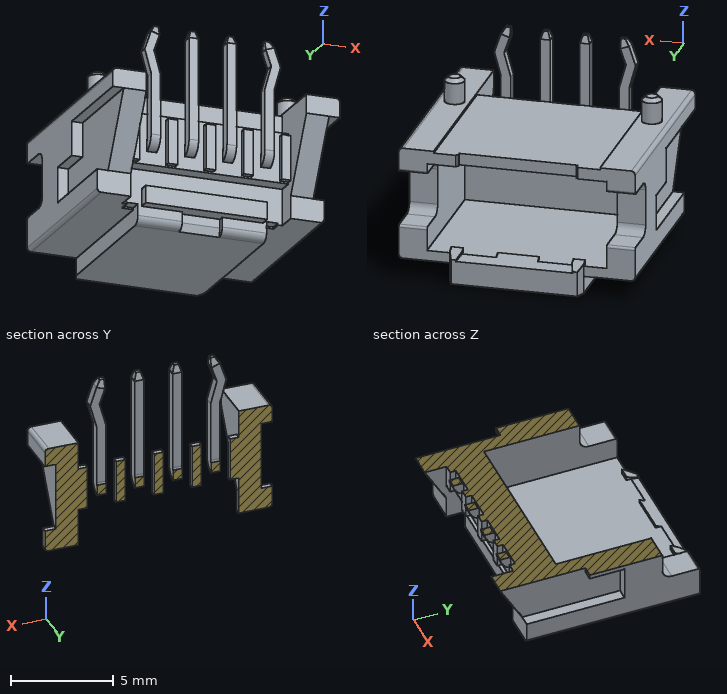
import cadquery as cq
import math


WIDTH = 12.0
LENGTH = 11.75
HEIGHT = 9.9

RAIL_BOTTOM = 0.9
RAIL_TOP = 6.7
RAIL_INNER_X = 4.22
LOWER_RAIL_FRONT = 2.05
BODY_BACK = 11.25
RAIL_EDGE_RADIUS = 0.2
POCKET_FLOOR_X = 5.42
POCKET_BOTTOM = 2.09
POCKET_STEP_Z = 3.92
POCKET_TOP = 5.7
POCKET_LOW_BACK = 7.25
POCKET_HIGH_BACK = 5.4
SIDE_NOTCH_FRONT = 9.26
SIDE_NOTCH_BOTTOM = 2.65
SIDE_NOTCH_TOP = 5.46
SIDE_NOTCH_INNER_RADIUS = 0.48
SIDE_NOTCH_LIP_RADIUS = 0.12

HOUSING_TOP = 6.6
HOUSING_FRONT = 3.17
PIN_WALL_FRONT = 2.35
PIN_WALL_BOTTOM = 2.8
PIN_WALL_TOP = 5.41

CAVITY_FRONT = 4.2
CAVITY_HALF_WIDTH = 4.56
CAVITY_FLOOR = 1.44
CAVITY_CEILING = 6.0
MOUTH_NOTCH_HALF_WIDTH = 3.0
MOUTH_NOTCH_DEPTH = 0.3
MOUTH_NOTCH_RADIUS = 0.1

BAR_HALF_WIDTH = 3.2
BAR_FRONT = 2.6
BAR_TOP = 1.8
RELIEF_OUTER_X = 4.0
RELIEF_HEIGHT = 0.1
RELIEF_DEPTH = 0.6

LATCH_HALF_WIDTH = 3.4
LATCH_EDGE_RADIUS = 0.41
LATCH_CENTRE_HALF_WIDTH = 1.05
LATCH_CENTRE_RECESS = 0.3
LATCH_CENTRE_CHAMFER_HEIGHT = 0.45
LATCH_CENTRE_CHAMFER_DEPTH = 0.12

HOOK_TIP_HALF_WIDTH = 3.2
HOOK_TIP_Z = 1.28
HOOK_ROOT_Z = 1.54
HOOK_TROUGH_TIP_HALF_WIDTH = 2.96
HOOK_TROUGH_ROOT_HALF_WIDTH = 2.8
HOOK_TROUGH_TIP_Z = 1.21
HOOK_SIDE_RAMP_LENGTH = 0.25

PIN_PITCH = 2.0
PIN_SIZE = 0.5
PIN_TIP_SIZE = 0.24
PIN_FRONT = 1.79
PIN_BOTTOM = 3.45
PIN_BEND_RADIUS = 0.75
PIN_TAPER_HEIGHT = 0.4
PIN_ROOT_BACK = 3.24
KINK_START_Z = 7.38
KINK_PEAK_Z = 8.59
KINK_PEAK_SHIFT = 0.34
KINK_TAPER_OUTER_Z = 9.58
KINK_TAPER_INNER_Z = 9.42
KINK_TIP_INNER_SHIFT = 0.05

RIB_COUNT = 5
RIB_WIDTH = 0.5
RIB_FRONT = 2.05
RIB_BOTTOM = 2.89
RIB_TOP = 5.22

POST_X = 5.0
POST_Y = 4.46
POST_RADIUS = 0.5
POST_TOP = 7.99
POST_CHAMFER = 0.2


def box(x0, x1, y0, y1, z0, z1):
    return cq.Workplane("XY").box(x1 - x0, y1 - y0, z1 - z0, centered=False).translate((x0, y0, z0))


def side_profile(points, x0, x1):
    """Extrude a closed (y, z) outline from x0 to x1."""
    return cq.Workplane("YZ").polyline(points).close().extrude(x1 - x0).translate((x0, 0, 0))


def plan_profile(points, z0, z1):
    """Extrude a closed (x, y) outline from z0 to z1."""
    return cq.Workplane("XY").polyline(points).close().extrude(z1 - z0).translate((0, 0, z0))


def both_sides(shape):
    return shape.union(shape.mirror("YZ"))


def make_rail():
    """Right-hand rail with its web, outer pocket and rounded notch at the back."""
    outline = [
        (0, RAIL_TOP),
        (0, POCKET_TOP),
        (LOWER_RAIL_FRONT, POCKET_BOTTOM),
        (LOWER_RAIL_FRONT, RAIL_BOTTOM),
        (BODY_BACK, RAIL_BOTTOM),
        (BODY_BACK, RAIL_TOP),
    ]
    outer_x = WIDTH / 2
    rail = side_profile(outline, RAIL_INNER_X, outer_x)
    rail = rail.faces(">X").edges("|Y").edges("<Z or >Z").fillet(RAIL_EDGE_RADIUS)

    pocket = [
        (0, POCKET_TOP),
        (POCKET_HIGH_BACK, POCKET_TOP),
        (POCKET_HIGH_BACK, POCKET_STEP_Z),
        (POCKET_LOW_BACK, POCKET_STEP_Z),
        (POCKET_LOW_BACK, POCKET_BOTTOM),
        (0, POCKET_BOTTOM),
    ]
    rail = rail.cut(side_profile(pocket, POCKET_FLOOR_X, outer_x))

    notch = box(0, outer_x, SIDE_NOTCH_FRONT, BODY_BACK, SIDE_NOTCH_BOTTOM, SIDE_NOTCH_TOP)
    notch = notch.edges("|X and <Y").fillet(SIDE_NOTCH_INNER_RADIUS)
    rail = rail.cut(notch)
    lips = cq.selectors.BoxSelector(
        (0, SIDE_NOTCH_FRONT + SIDE_NOTCH_INNER_RADIUS, RAIL_BOTTOM + RAIL_EDGE_RADIUS),
        (outer_x, LENGTH, RAIL_TOP - RAIL_EDGE_RADIUS),
    )
    return rail.edges("|X").edges(lips).fillet(SIDE_NOTCH_LIP_RADIUS)


def make_housing():
    """Solid block between the rails, with the pin wall standing proud at the front."""
    outline = [
        (HOUSING_FRONT, RAIL_BOTTOM),
        (HOUSING_FRONT, PIN_WALL_BOTTOM),
        (PIN_WALL_FRONT, PIN_WALL_BOTTOM),
        (PIN_WALL_FRONT, PIN_WALL_TOP),
        (HOUSING_FRONT, PIN_WALL_TOP),
        (HOUSING_FRONT, HOUSING_TOP),
        (BODY_BACK, HOUSING_TOP),
        (BODY_BACK, RAIL_BOTTOM),
    ]
    housing = side_profile(outline, -RAIL_INNER_X, RAIL_INNER_X)
    relief = box(
        LATCH_HALF_WIDTH, RELIEF_OUTER_X,
        HOUSING_FRONT, HOUSING_FRONT + RELIEF_DEPTH,
        RAIL_BOTTOM, RAIL_BOTTOM + RELIEF_HEIGHT,
    )
    bar = box(-BAR_HALF_WIDTH, BAR_HALF_WIDTH, BAR_FRONT, HOUSING_FRONT, RAIL_BOTTOM, BAR_TOP)
    return housing.cut(both_sides(relief)).union(bar)


def make_cavity():
    """Mating cavity open at the back, with the notch in the roof of its mouth."""
    cavity = box(
        -CAVITY_HALF_WIDTH, CAVITY_HALF_WIDTH, CAVITY_FRONT, BODY_BACK, CAVITY_FLOOR, CAVITY_CEILING
    )
    half = MOUTH_NOTCH_HALF_WIDTH
    flared = half + MOUTH_NOTCH_RADIUS
    notch = (
        cq.Workplane("XY", origin=(0, 0, CAVITY_CEILING))
        .moveTo(-half, BODY_BACK - MOUTH_NOTCH_DEPTH)
        .lineTo(half, BODY_BACK - MOUTH_NOTCH_DEPTH)
        .lineTo(half, BODY_BACK - MOUTH_NOTCH_RADIUS)
        .radiusArc((flared, BODY_BACK), -MOUTH_NOTCH_RADIUS)
        .lineTo(-flared, BODY_BACK)
        .radiusArc((-half, BODY_BACK - MOUTH_NOTCH_RADIUS), -MOUTH_NOTCH_RADIUS)
        .close()
        .extrude(HOUSING_TOP - CAVITY_CEILING)
    )
    return cavity.union(notch)


def make_latch():
    """Tongue below the housing: rounded front edge, recessed and chamfered in the middle."""
    latch = box(-LATCH_HALF_WIDTH, LATCH_HALF_WIDTH, HOUSING_FRONT, BODY_BACK, 0, RAIL_BOTTOM + RELIEF_HEIGHT)
    latch = latch.edges("|X and <Y and <Z").fillet(LATCH_EDGE_RADIUS)
    centre_front = HOUSING_FRONT + LATCH_CENTRE_RECESS
    centre_cut = [
        (HOUSING_FRONT, RAIL_BOTTOM),
        (centre_front, RAIL_BOTTOM),
        (centre_front, LATCH_CENTRE_CHAMFER_HEIGHT),
        (centre_front + LATCH_CENTRE_CHAMFER_DEPTH, 0),
        (HOUSING_FRONT, 0),
    ]
    return latch.cut(side_profile(centre_cut, -LATCH_CENTRE_HALF_WIDTH, LATCH_CENTRE_HALF_WIDTH))


def ramp_height(root_z, tip_z, y):
    """Height at y of a ramp through root_z at the body back and tip_z at the hook tip."""
    return root_z + (tip_z - root_z) * (y - BODY_BACK) / (LENGTH - BODY_BACK)


def make_hook():
    """Tapered hook: a sloped top with a shallow sloped trough between its two sides."""
    hook_side = [(BODY_BACK, 0), (LENGTH, 0), (LENGTH, HOOK_TIP_Z), (BODY_BACK, HOOK_ROOT_Z)]
    hook_plan = [
        (-LATCH_HALF_WIDTH, BODY_BACK),
        (LATCH_HALF_WIDTH, BODY_BACK),
        (HOOK_TIP_HALF_WIDTH, LENGTH),
        (-HOOK_TIP_HALF_WIDTH, LENGTH),
    ]
    trough_side = [
        (BODY_BACK, CAVITY_FLOOR),
        (LENGTH, HOOK_TROUGH_TIP_Z),
        (LENGTH, HOOK_ROOT_Z),
        (BODY_BACK, HOOK_ROOT_Z),
    ]
    trough_plan = [
        (-HOOK_TROUGH_ROOT_HALF_WIDTH, BODY_BACK),
        (HOOK_TROUGH_ROOT_HALF_WIDTH, BODY_BACK),
        (HOOK_TROUGH_TIP_HALF_WIDTH, LENGTH),
        (-HOOK_TROUGH_TIP_HALF_WIDTH, LENGTH),
    ]
    reach = LATCH_HALF_WIDTH
    hook = side_profile(hook_side, -reach, reach).intersect(plan_profile(hook_plan, 0, HOOK_ROOT_Z))
    trough = side_profile(trough_side, -reach, reach).intersect(plan_profile(trough_plan, 0, HOOK_ROOT_Z))
    return hook.cut(trough)


def make_mouth_ramp(root_z, tip_z, length, x0, x1):
    """Carry a hook ramp forward over the cavity floor, still rising."""
    front = BODY_BACK - length
    outline = [
        (front, RAIL_BOTTOM),
        (BODY_BACK, RAIL_BOTTOM),
        (BODY_BACK, root_z),
        (front, ramp_height(root_z, tip_z, front)),
    ]
    return side_profile(outline, x0, x1)


def make_pin(front_outline):
    """Bent strip (root in the wall, bend, upright) trimmed to a closed (x, z) front outline."""
    back = PIN_FRONT + PIN_SIZE
    bend_y = PIN_FRONT + PIN_BEND_RADIUS
    bend_z = PIN_BOTTOM + PIN_BEND_RADIUS
    strip = (
        cq.Workplane("YZ")
        .moveTo(PIN_ROOT_BACK, PIN_BOTTOM)
        .lineTo(bend_y, PIN_BOTTOM)
        .radiusArc((PIN_FRONT, bend_z), PIN_BEND_RADIUS)
        .lineTo(PIN_FRONT, HEIGHT)
        .lineTo(back, HEIGHT)
        .lineTo(back, bend_z)
        .radiusArc((bend_y, PIN_BOTTOM + PIN_SIZE), -(PIN_BEND_RADIUS - PIN_SIZE))
        .lineTo(PIN_ROOT_BACK, PIN_BOTTOM + PIN_SIZE)
        .close()
        .extrude(WIDTH / 2)
    )
    front = cq.Workplane("XZ").polyline(front_outline).close().extrude(-LENGTH)
    return strip.intersect(front)


def taper_pin_tip(pin, inner_shoulder, outer_shoulder):
    """Slope the front and back tip faces, starting at the line joining two (x, z) shoulder points."""
    inner_x, inner_z = inner_shoulder
    outer_x, outer_z = outer_shoulder
    tilt = math.degrees(math.atan2(outer_z - inner_z, outer_x - inner_x))
    depth = PIN_SIZE / 2
    rise = PIN_TAPER_HEIGHT * depth / ((PIN_SIZE - PIN_TIP_SIZE) / 2)
    back = PIN_FRONT + PIN_SIZE
    for face_y, ridge_y in ((PIN_FRONT, PIN_FRONT + depth), (back, back - depth)):
        wedge = side_profile([(face_y, 0), (ridge_y, rise), (face_y, rise)], -PIN_SIZE, 2 * PIN_SIZE)
        wedge = wedge.rotate((0, 0, 0), (0, 1, 0), -tilt).translate((inner_x, 0, inner_z))
        pin = pin.cut(wedge)
    return pin


def straight_pin(x):
    half = PIN_SIZE / 2
    tip_half = PIN_TIP_SIZE / 2
    left_shoulder = (x - half, HEIGHT - PIN_TAPER_HEIGHT)
    right_shoulder = (x + half, HEIGHT - PIN_TAPER_HEIGHT)
    pin = make_pin([
        (x - half, 0),
        (x + half, 0),
        right_shoulder,
        (x + tip_half, HEIGHT),
        (x - tip_half, HEIGHT),
        left_shoulder,
    ])
    return taper_pin_tip(pin, left_shoulder, right_shoulder)


def kinked_pin(x):
    """Retention pin, bulging outward above the housing, its tip tapered square to the upper leg."""
    inner = x - PIN_SIZE / 2
    outer = x + PIN_SIZE / 2
    tip_inner = inner + KINK_TIP_INNER_SHIFT
    inner_shoulder = (tip_inner, KINK_TAPER_INNER_Z)
    outer_shoulder = (outer, KINK_TAPER_OUTER_Z)
    pin = make_pin([
        (inner, 0),
        (outer, 0),
        (outer, KINK_START_Z),
        (outer + KINK_PEAK_SHIFT, KINK_PEAK_Z),
        outer_shoulder,
        (tip_inner + PIN_TIP_SIZE, HEIGHT),
        (tip_inner, HEIGHT),
        inner_shoulder,
        (inner + KINK_PEAK_SHIFT, KINK_PEAK_Z),
        (inner, KINK_START_Z),
    ])
    return taper_pin_tip(pin, inner_shoulder, outer_shoulder)


def make_ribs():
    """Ribs midway between the pins; the outermost two run into the webs."""
    ribs = cq.Workplane("XY")
    for index in range(RIB_COUNT):
        x = (index - (RIB_COUNT - 1) / 2) * PIN_PITCH
        rib = box(
            x - RIB_WIDTH / 2, x + RIB_WIDTH / 2, RIB_FRONT, HOUSING_FRONT, RIB_BOTTOM, RIB_TOP
        )
        ribs = ribs.add(rib)
    return ribs.combine()


def make_post():
    post = cq.Workplane("XY", origin=(POST_X, POST_Y, HOUSING_TOP)).circle(POST_RADIUS)
    return post.extrude(POST_TOP - HOUSING_TOP).faces(">Z").chamfer(POST_CHAMFER)


body = make_housing().union(both_sides(make_rail()))
body = body.union(make_latch()).union(make_hook())
body = body.cut(make_cavity())

centre_ramp = make_mouth_ramp(
    CAVITY_FLOOR, HOOK_TROUGH_TIP_Z, MOUTH_NOTCH_DEPTH, -LATCH_CENTRE_HALF_WIDTH, LATCH_CENTRE_HALF_WIDTH
)
side_ramp = make_mouth_ramp(
    HOOK_ROOT_Z, HOOK_TIP_Z, HOOK_SIDE_RAMP_LENGTH, HOOK_TROUGH_ROOT_HALF_WIDTH, LATCH_HALF_WIDTH
)
body = body.union(centre_ramp).union(both_sides(side_ramp))

pins = both_sides(straight_pin(PIN_PITCH / 2)).union(both_sides(kinked_pin(PIN_PITCH / 2 + PIN_PITCH)))
result = body.union(make_ribs()).union(pins).union(both_sides(make_post()))